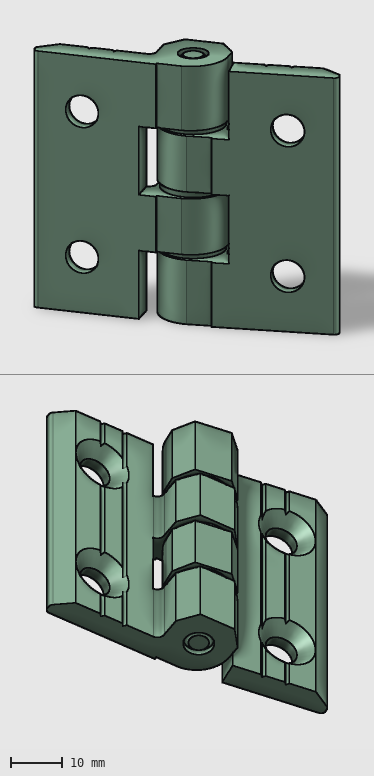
import cadquery as cq
import math


hinge_width = 60.65
open_angle = 7.5

hinge_height = 53.2
leaf_height = 52.95
inner_knuckle = 11.5
washer_thickness = 1.1
clearance = 0.35
knuckle_gap = inner_knuckle + 2 * washer_thickness + clearance
end_knuckle = (hinge_height - 2 * inner_knuckle - 3 * washer_thickness - clearance) / 2
hinge_top = hinge_height / 2

plate_top = -3.0
plate_bottom = -8.0
bevel_width = 3.9
bevel_drop = 3.05
end_radius = 1.0
swing_cos = math.cos(math.radians(open_angle))
swing_sin = math.sin(math.radians(open_angle))
end_centre_y = plate_bottom + end_radius
leaf_reach = (hinge_width - end_radius * (1 - swing_cos) + end_centre_y * swing_sin) / (1 + swing_cos)
barrel_half = 7.0
barrel_bottom = -7.45
barrel_radius = (barrel_half**2 + barrel_bottom**2) / (2 * barrel_half)
barrel_chamfer_width = 3.1
barrel_chamfer_height = 4.0
root_radius = 1.5
step_x = -5.05
cutout_x = -(barrel_half + root_radius)

screw_hole_diameter = 6.6
countersink_diameter = 12.0
countersink_angle = 90
screw_hole_x = -20.0
screw_hole_spacing = 30.0
groove_spacing = 5.05
groove_xs = (screw_hole_x, screw_hole_x + groove_spacing)
groove_depth = 0.6
groove_half_width = 0.5

pin_diameter = 5.95
pin_recess = 0.25
pin_chamfer = 1.0
leaf_bore = 6.0
washer_bore = 6.1
washer_diameter = 13.0


def leaf_profile():
    """Plate and barrel section, drawn from the step round the underside and back."""
    flat_half = barrel_half - barrel_chamfer_width
    shoulder_y = barrel_half - barrel_chamfer_height
    return (
        cq.Workplane("XY")
        .moveTo(step_x, plate_bottom)
        .lineTo(step_x, barrel_bottom)
        .lineTo(0, barrel_bottom)
        .radiusArc((barrel_half, 0), -barrel_radius)
        .lineTo(barrel_half, shoulder_y)
        .lineTo(flat_half, barrel_half)
        .lineTo(-flat_half, barrel_half)
        .lineTo(-barrel_half, shoulder_y)
        .lineTo(-barrel_half, plate_top + root_radius)
        .radiusArc((cutout_x, plate_top), root_radius)
        .lineTo(-leaf_reach + bevel_width, plate_top)
        .lineTo(-leaf_reach, plate_top - bevel_drop)
        .lineTo(-leaf_reach, plate_bottom)
        .close()
    )


def knuckle_cutter(top_z, height):
    """Block that clears the barrel over one stretch of the leaf height."""
    width = 2 * barrel_half - cutout_x
    depth = 4 * barrel_half
    return cq.Workplane("XY").box(width, depth, height, centered=(False, True, False)).translate(
        (cutout_x, 0, top_z - height)
    )


def make_leaf():
    leaf_bottom = hinge_top - leaf_height
    leaf = leaf_profile().extrude(leaf_height).translate((0, 0, leaf_bottom))
    leaf = leaf.edges("|Z").edges("<X").fillet(end_radius)

    upper_gap_top = hinge_top - end_knuckle
    lower_gap_top = upper_gap_top - knuckle_gap - inner_knuckle
    leaf = leaf.cut(knuckle_cutter(upper_gap_top, knuckle_gap))
    leaf = leaf.cut(knuckle_cutter(lower_gap_top, lower_gap_top - leaf_bottom))

    pin_bore = cq.Workplane("XY").circle(leaf_bore / 2).extrude(hinge_height, both=True)
    leaf = leaf.cut(pin_bore)

    for groove_x in groove_xs:
        groove = (
            cq.Workplane("XY", origin=(groove_x, plate_top, leaf_bottom))
            .polyline([(-groove_half_width, 0), (0, -groove_depth), (groove_half_width, 0)])
            .close()
            .extrude(leaf_height)
        )
        leaf = leaf.cut(groove)

    leaf_middle = hinge_top - leaf_height / 2
    screw_plane = cq.Plane(origin=(screw_hole_x, plate_top, leaf_middle), xDir=(1, 0, 0), normal=(0, 1, 0))
    leaf = leaf.copyWorkplane(cq.Workplane(screw_plane))
    leaf = leaf.rarray(0.6, screw_hole_spacing, 1, 2).cskHole(
        screw_hole_diameter, countersink_diameter, countersink_angle
    )
    return leaf


def make_pin():
    pin_length = hinge_height - 2 * pin_recess
    return (
        cq.Workplane("XY", origin=(0, 0, -pin_length / 2))
        .circle(pin_diameter / 2)
        .extrude(pin_length)
        .faces("|Z")
        .chamfer(pin_chamfer)
    )


def make_washer(bottom_z):
    return (
        cq.Workplane("XY", origin=(0, 0, bottom_z))
        .circle(washer_diameter / 2)
        .circle(washer_bore / 2)
        .extrude(washer_thickness)
    )


first_leaf = make_leaf()
second_leaf = make_leaf().rotate((0, 0, 0), (0, 1, 0), 180).rotate((0, 0, 0), (0, 0, 1), open_angle)

pin = make_pin()

inner_knuckle_bottom = -hinge_top + end_knuckle + washer_thickness
washer_bottoms = (
    hinge_top - end_knuckle - washer_thickness,
    inner_knuckle_bottom + inner_knuckle,
    inner_knuckle_bottom - washer_thickness,
)
washers = [make_washer(bottom_z) for bottom_z in washer_bottoms]

result = cq.Compound.makeCompound(
    [first_leaf.val(), second_leaf.val(), pin.val(), *[washer.val() for washer in washers]]
)